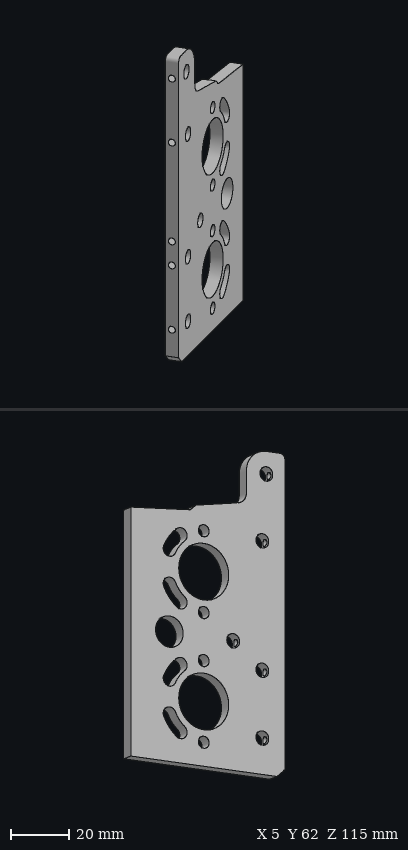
import cadquery as cq
import math

thickness = 5.0
depth = 62.0
height = 115.0

tab_radius = 8.0
tab_hole_y = 7.5
tab_hole_z = height - tab_radius
tab_back_y = tab_hole_y + tab_radius
tab_front_fillet = 2.0
tab_root_z = 95.9
tab_root_fillet = 3.8
step_front_y = 35.8
step_front_z = 92.3
step_back_y = 38.1
step_back_z = 90.4
back_edge_z = 88.3
bottom_rise = 0.2
front_chamfer_y = 3.1
front_chamfer_z = 3.0

middle_z = 46.1
group_spacing = 46.0
group_y = 32.7
group_heights = (middle_z - group_spacing / 2, middle_z + group_spacing / 2)
bore_diameter = 20.0
pin_diameter = 4.3
pin_offset = 14.5
slot_width = 5.1
slot_path_radius = 15.1
slot_start_angle = 24.5
slot_end_angle = 52.0

window_diameter = 11.0
window_y = 46.5
cross_hole_diameter = 5.1
edge_hole_diameter = 2.5
column_y = 9.1
cross_holes = [
    (tab_hole_y, tab_hole_z),
    (column_y, 83.0),
    (20.8, middle_z),
    (column_y, 37.1),
    (column_y, 13.1),
]


def make_plate():
    body = (
        cq.Workplane("YZ")
        .moveTo(depth, 0)
        .lineTo(front_chamfer_y, bottom_rise)
        .lineTo(0, front_chamfer_z)
        .lineTo(0, height)
        .lineTo(tab_back_y, height)
        .lineTo(tab_back_y, tab_root_z)
        .lineTo(step_front_y, step_front_z)
        .lineTo(step_back_y, step_back_z)
        .lineTo(depth, back_edge_z)
        .close()
        .extrude(thickness)
    )
    for y, z, radius in (
        (0, height, tab_front_fillet),
        (tab_back_y, height, tab_radius),
        (tab_back_y, tab_root_z, tab_root_fillet),
    ):
        corner = cq.selectors.NearestToPointSelector((thickness / 2, y, z))
        body = body.edges("|X").edges(corner).fillet(radius)
    return body


def round_hole(y, z, diameter):
    return cq.Workplane("YZ").center(y, z).circle(diameter / 2).extrude(thickness)


def arc_slot(center_z, side):
    """Curved slot around a bore, above it (side = 1) or below it (side = -1)."""
    def point(radius, degrees):
        angle = math.radians(degrees)
        return group_y + radius * math.cos(angle), center_z + side * radius * math.sin(angle)

    inner = slot_path_radius - slot_width / 2
    outer = slot_path_radius + slot_width / 2
    mid_angle = (slot_start_angle + slot_end_angle) / 2

    def cap_tip(end_angle, direction):
        y, z = point(slot_path_radius, end_angle)
        tangent = math.radians(end_angle + direction * 90)
        reach = slot_width / 2
        return y + reach * math.cos(tangent), z + side * reach * math.sin(tangent)

    return (
        cq.Workplane("YZ")
        .moveTo(*point(outer, slot_start_angle))
        .threePointArc(point(outer, mid_angle), point(outer, slot_end_angle))
        .threePointArc(cap_tip(slot_end_angle, 1), point(inner, slot_end_angle))
        .threePointArc(point(inner, mid_angle), point(inner, slot_start_angle))
        .threePointArc(cap_tip(slot_start_angle, -1), point(outer, slot_start_angle))
        .close()
        .extrude(thickness)
    )


def edge_hole(z, length):
    """Hole drilled from the front edge along +Y at mid thickness."""
    start = cq.Vector(thickness / 2, 0, z)
    return cq.Solid.makeCylinder(edge_hole_diameter / 2, length, start, cq.Vector(0, 1, 0))


result = make_plate()

for group_z in group_heights:
    result = result.cut(round_hole(group_y, group_z, bore_diameter))
    for side in (-1, 1):
        result = result.cut(round_hole(group_y, group_z + side * pin_offset, pin_diameter))
        result = result.cut(arc_slot(group_z, side))

result = result.cut(round_hole(window_y, middle_z, window_diameter))

for hole_y, hole_z in cross_holes:
    result = result.cut(round_hole(hole_y, hole_z, cross_hole_diameter))
    result = result.cut(edge_hole(hole_z, hole_y))